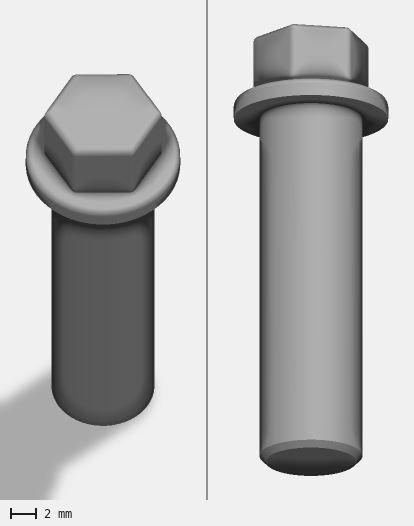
import cadquery as cq
import math

total_length = 34.5
shank_diameter = 8.0
flange_diameter = 12.0
flange_thickness = 1.5
head_height = 5.0
edge_size = 0.5

head_across_flats = shank_diameter
head_across_corners = head_across_flats / math.cos(math.radians(30))
shank_length = total_length - flange_thickness - head_height
flange_top = shank_length + flange_thickness


def make_shank():
    """Round shank with a chamfered tip."""
    shank = cq.Workplane("XY").circle(shank_diameter / 2).extrude(shank_length)
    return shank.faces("<Z").chamfer(edge_size)


def make_flange():
    """Round collar with its upper rim rounded."""
    flange = (
        cq.Workplane("XY")
        .workplane(offset=shank_length)
        .circle(flange_diameter / 2)
        .extrude(flange_thickness)
    )
    return flange.faces(">Z").edges().fillet(edge_size)


def make_head():
    """Hexagon with corners on the Y axis, rounded at its corners and top."""
    head = (
        cq.Workplane("XY")
        .workplane(offset=flange_top)
        .transformed(rotate=(0, 0, 90))
        .polygon(6, head_across_corners)
        .extrude(head_height)
    )
    head = head.edges("|Z").fillet(edge_size)
    return head.faces(">Z").edges().fillet(edge_size)


result = make_shank().union(make_flange()).union(make_head())